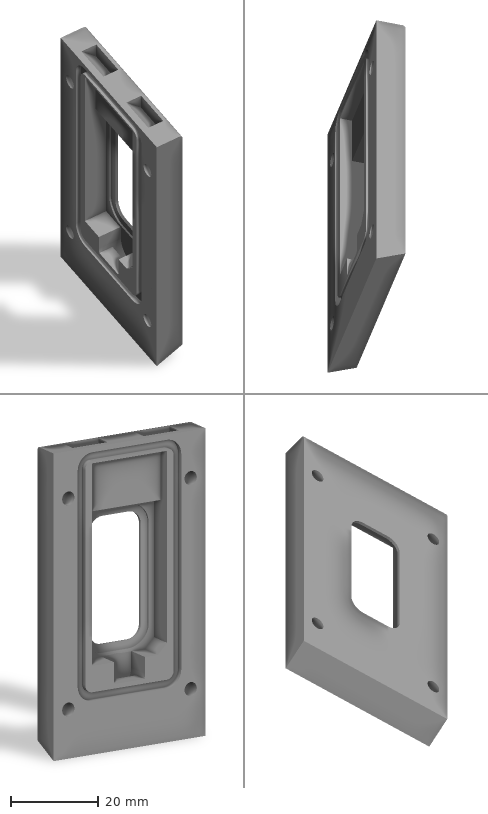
import cadquery as cq
import math

width = 41.0
thickness = 7.0
height = 73.4
bevel_angle = 25.0
top_edge_radius = 0.7

pocket_width = 20.35
pocket_bottom = 21.2
pocket_top = 69.5
pocket_depth = 5.8
pocket_corner_chamfer = 2.5
shelf_bottom = 57.1
shelf_depth = 2.95

window_width = 13.7
window_bottom = 23.85
window_top = 54.55
window_radius = 3.4
rebate_margin = 1.9
rebate_depth = 0.45

groove_outer_width = 28.0
groove_bottom = 12.85
groove_top = 72.2
groove_span = 2.05
groove_outer_radius = 4.0
groove_depth = 1.4

notch_radius = 4.2
notch_center = 17.2
notch_depth = 6.0
lip_top = 16.0
lip_thickness = 3.6

hole_diameter = 3.3
hole_x = 16.5
hole_heights = (11.75, 62.1)

slot_width = 9.4
slot_x = 9.58
slot_front = 1.7
slot_back = 5.7
slot_ramp_angle = 45.0


def front_block(block_width, bottom, top, y_start, y_end):
    """Box centred on x = 0 between two heights and two depths from the front face."""
    return cq.Workplane("XY").box(
        block_width, y_end - y_start, top - bottom, centered=(True, False, False)
    ).translate((0, y_start, bottom))


def rounded_block(block_width, bottom, top, y_start, y_end, radius):
    """Front block with its four corners rounded."""
    return front_block(block_width, bottom, top, y_start, y_end).edges("|Y").fillet(radius)


def side_prism(points, prism_width, x_center=0.0):
    """Prism along X from a (y, z) outline."""
    return (
        cq.Workplane("YZ", origin=(x_center, 0, 0))
        .polyline(points)
        .close()
        .extrude(prism_width / 2, both=True)
    )


def make_plate():
    bevel_rise = thickness * math.tan(math.radians(bevel_angle))
    outline = [
        (0, 0),
        (thickness, bevel_rise),
        (thickness, height),
        (0, height),
    ]
    plate = side_prism(outline, width)
    return plate.edges("|X and >Y and >Z").fillet(top_edge_radius)


def make_pocket():
    deep = front_block(pocket_width, pocket_bottom, shelf_bottom, 0, pocket_depth)
    deep = deep.edges("|Y and >X and <Z").chamfer(pocket_corner_chamfer)
    shallow = front_block(pocket_width, shelf_bottom, pocket_top, 0, shelf_depth)
    return deep.union(shallow)


def make_window():
    opening = rounded_block(
        window_width, window_bottom, window_top, pocket_depth, thickness, window_radius
    )
    rebate = rounded_block(
        window_width + 2 * rebate_margin,
        window_bottom - rebate_margin,
        window_top + rebate_margin,
        pocket_depth,
        pocket_depth + rebate_depth,
        window_radius + rebate_margin,
    )
    return opening.union(rebate)


def make_groove():
    outer = rounded_block(
        groove_outer_width, groove_bottom, groove_top, 0, groove_depth, groove_outer_radius
    )
    inner = rounded_block(
        groove_outer_width - 2 * groove_span,
        groove_bottom + groove_span,
        groove_top - groove_span,
        0,
        groove_depth,
        groove_outer_radius - groove_span,
    )
    return outer.cut(inner)


def make_notch():
    straight = front_block(2 * notch_radius, notch_center, pocket_bottom, 0, notch_depth)
    round_end = (
        cq.Workplane("XZ")
        .center(0, notch_center)
        .circle(notch_radius)
        .extrude(-notch_depth)
    )
    lip = front_block(2 * notch_radius, notch_center - notch_radius, lip_top, 0, lip_thickness)
    return straight.union(round_end).cut(lip)


def make_screw_holes():
    centers = [(x, z) for x in (-hole_x, hole_x) for z in hole_heights]
    return cq.Workplane("XZ").pushPoints(centers).circle(hole_diameter / 2).extrude(-thickness)


def make_latch_slot(x_center):
    ramp_drop = (slot_back - slot_front) * math.tan(math.radians(slot_ramp_angle))
    outline = [
        (slot_front, height),
        (slot_back, height - ramp_drop),
        (slot_back, height),
    ]
    return side_prism(outline, slot_width, x_center)


result = (
    make_plate()
    .cut(make_groove())
    .cut(make_pocket())
    .cut(make_window())
    .cut(make_notch())
    .cut(make_screw_holes())
)
for slot_center in (-slot_x, slot_x):
    result = result.cut(make_latch_slot(slot_center))